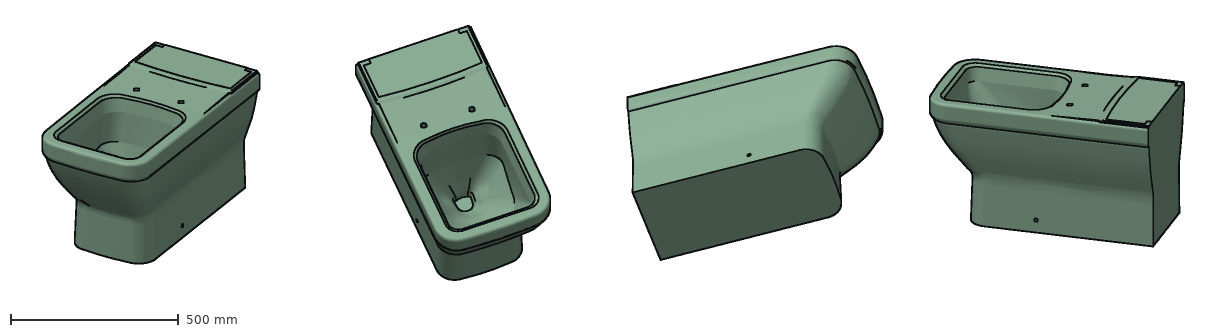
import cadquery as cq
import math


OVERALL_WIDTH = 370.98
OVERALL_LENGTH = 704.16
OVERALL_HEIGHT = 407.44
HALF_WIDTH = OVERALL_WIDTH / 2

FOOT_TOP = 134.0
WAIST_TOP = 174.0
SHELL_TOP = 330.0
NECK_TOP = 337.0
RIM_BOTTOM = 352.0
RIM_TOP = 401.0
RIM_EDGE_RADIUS = 9.5
RIM_FRONT_NARROWING = 2.5
LIP_SECTIONS = [(341.0, 4.5), (346.0, 1.4), (RIM_BOTTOM, 0.0)]
FRONT_BOW = 4.0

FOOT_SECTIONS = [
    (0.0, 135.5, 587.0, 58.0),
    (FOOT_TOP, 131.0, 583.5, 58.0),
]
WAIST_SECTIONS = [
    FOOT_SECTIONS[-1],
    (156.0, 131.3, 587.0, 56.0),
    (WAIST_TOP, 135.5, 601.0, 54.0),
]
SHELL_SECTIONS = [
    WAIST_SECTIONS[-1],
    (200.0, 144.0, 621.0, 56.0),
    (238.0, 157.0, 649.0, 60.0),
    (280.0, 167.0, 674.0, 63.0),
    (SHELL_TOP, 176.0, 693.0, 65.0),
]
NECK_SECTIONS = [
    SHELL_SECTIONS[-1],
    (NECK_TOP, 176.5, 695.0, 65.0),
]
RIM_CORNER_RADIUS = 70.0

DECK_HALF_WIDTH = 173.0
DECK_FRONT = 304.0
DECK_BREAK = 165.0
DECK_HIGH = 404.5

PAD_BASE = 396.0
PAD_FOOT_HALF_WIDTH = 178.5
PAD_FOOT_FRONT = 168.0
PAD_HALF_WIDTH = 175.5
PAD_FRONT = 159.0
PAD_BOW = 9.0
PAD_CORNER_RADIUS = 10.0
PLATE_THICKNESS = 0.8
PLATE_HALF_WIDTH = 165.5
PLATE_FRONT = 145.0
PLATE_BOW = 8.0
NOTCH_HALF_SPAN = 143.0
NOTCH_DEPTH = 16.0

BASIN_BACK_BOW = 7.0
OPENING_SECTIONS = [
    (RIM_TOP, 148.4, 148.4, 318.0, 668.0, 62.0, 40.0),
    (393.0, 139.5, 139.5, 323.0, 657.0, 58.0, 36.0),
    (352.0, 127.8, 127.8, 333.0, 649.0, 55.0, 30.0),
]
BASIN_SECTIONS = [
    OPENING_SECTIONS[-1],
    (257.0, 127.0, 113.0, 347.0, 612.0, 50.0, 102.0),
]
FUNNEL_SECTIONS = [
    BASIN_SECTIONS[-1],
    (186.0, 74.0, 62.0, 366.0, 508.0, 40.0, 56.0),
]
SUMP_SECTIONS = [
    FUNNEL_SECTIONS[-1],
    (160.0, 48.0, 40.0, 376.0, 478.0, 22.0, 38.0),
    (140.0, 32.0, 29.0, 383.0, 452.0, 12.0, 27.0),
    (120.0, 26.0, 24.0, 387.0, 437.0, 8.0, 22.0),
]

SEAT_HOLE_SPACING = 154.6
SEAT_HOLE_FROM_WALL = 277.0
SEAT_HOLE_DIAMETER = 17.0
SEAT_HOLE_DEPTH = 40.0
FIXING_HOLE_FROM_WALL = 365.0
FIXING_HOLE_HEIGHT = 39.5
FIXING_HOLE_DIAMETER = 10.0
FIXING_HOLE_DEPTH = 20.0

DIAGONAL = math.sqrt(0.5)


def corner_middle(center_x, center_y, radius, side_x, side_y):
    """Middle point of a quarter-circle corner facing the (side_x, side_y) quadrant."""
    reach = radius * DIAGONAL
    return (center_x + side_x * reach, center_y + side_y * reach)


def corner_arc(outline, center_x, center_y, radius, side_x, side_y, end):
    """Continue the outline round a quarter-circle corner to its end point."""
    return outline.threePointArc(corner_middle(center_x, center_y, radius, side_x, side_y), end)


def body_outline(height, half_width, front, radius, narrowing=0.0, bow=FRONT_BOW):
    """Flat against the wall, rounded at the front corners, with a gently bowed front."""
    front_half = half_width - narrowing
    corner_y = -(front - bow)
    center_x = front_half - radius
    center_y = corner_y + radius
    outline = cq.Workplane("XY", origin=(0, 0, height)).moveTo(-half_width, 0)
    outline = outline.lineTo(-front_half, center_y)
    outline = corner_arc(outline, -center_x, center_y, radius, -1, -1, (-center_x, corner_y))
    outline = outline.threePointArc((0, -front), (center_x, corner_y))
    outline = corner_arc(outline, center_x, center_y, radius, 1, -1, (front_half, center_y))
    return outline.lineTo(half_width, 0).close()


def basin_outline(height, rear_half, front_half, back, front, rear_radius, front_radius):
    """Closed ring with rounded corners and a back edge that bows toward the wall at its middle."""
    bow = min(BASIN_BACK_BOW, rear_radius / 2)
    rear_y = -(back + bow)
    rear_x = rear_half - rear_radius
    rear_center_y = rear_y - rear_radius
    front_x = front_half - front_radius
    front_center_y = -front + front_radius
    outline = cq.Workplane("XY", origin=(0, 0, height)).moveTo(-rear_half, rear_center_y)
    outline = outline.lineTo(-front_half, front_center_y)
    outline = corner_arc(outline, -front_x, front_center_y, front_radius, -1, -1, (-front_x, -front))
    outline = outline.lineTo(front_x, -front)
    outline = corner_arc(outline, front_x, front_center_y, front_radius, 1, -1, (front_half, front_center_y))
    outline = outline.lineTo(rear_half, rear_center_y)
    outline = corner_arc(outline, rear_x, rear_center_y, rear_radius, 1, 1, (rear_x, rear_y))
    outline = outline.threePointArc((0, -back), (-rear_x, rear_y))
    outline = corner_arc(outline, -rear_x, rear_center_y, rear_radius, -1, 1, (-rear_half, rear_center_y))
    return outline.close()


def loft(outlines, ruled=False):
    """Solid through a stack of closed outlines."""
    wires = [outline.wires().val() for outline in outlines]
    return cq.Workplane("XY").newObject([cq.Solid.makeLoft(wires, ruled)])


def lower_body():
    """Foot, waist, flared shell and neck stacked on one another."""
    body = loft([body_outline(*section) for section in FOOT_SECTIONS])
    for sections in (WAIST_SECTIONS, SHELL_SECTIONS, NECK_SECTIONS):
        body = body.union(loft([body_outline(*section) for section in sections]))
    return body


def rim_outline(height, inset=0.0):
    """Rim outline, pulled in by the inset at the sides and front."""
    return body_outline(
        height,
        HALF_WIDTH - inset,
        OVERALL_LENGTH - inset,
        RIM_CORNER_RADIUS - inset,
        RIM_FRONT_NARROWING,
    )


def rim():
    """Thick upright rim with a flared underside and a rounded top edge."""
    flare = loft([body_outline(*NECK_SECTIONS[-1]), rim_outline(*LIP_SECTIONS[0])])
    lip = loft([rim_outline(*section) for section in LIP_SECTIONS])
    band = rim_outline(RIM_BOTTOM).extrude(RIM_TOP - RIM_BOTTOM)
    top_edges = band.faces(">Z").edges().filter(lambda edge: edge.Center().y < -RIM_EDGE_RADIUS)
    return flare.union(lip).union(top_edges.fillet(RIM_EDGE_RADIUS))


def seat_deck():
    """Deck that falls gently from the cistern pad to the rim."""
    profile = [
        (0, PAD_BASE),
        (-DECK_FRONT, PAD_BASE),
        (-DECK_FRONT, RIM_TOP),
        (-DECK_BREAK, DECK_HIGH),
        (0, DECK_HIGH),
    ]
    return (
        cq.Workplane("YZ", origin=(-DECK_HALF_WIDTH, 0, 0))
        .polyline(profile)
        .close()
        .extrude(2 * DECK_HALF_WIDTH)
    )


def cistern_pad():
    """Raised pad with sloping sides, carrying a thin plate notched at its rear corners."""
    pad_top = OVERALL_HEIGHT - PLATE_THICKNESS
    foot_size = (PAD_FOOT_HALF_WIDTH, PAD_FOOT_FRONT, PAD_CORNER_RADIUS)
    top_size = (PAD_HALF_WIDTH, PAD_FRONT, PAD_CORNER_RADIUS)
    foot = body_outline(PAD_BASE, *foot_size, bow=PAD_BOW).extrude(DECK_HIGH - PAD_BASE)
    slope = loft([
        body_outline(DECK_HIGH, *foot_size, bow=PAD_BOW),
        body_outline(pad_top, *top_size, bow=PAD_BOW),
    ])
    pad = foot.union(slope)
    plate_corner = -(PLATE_FRONT - PLATE_BOW)
    plate = (
        cq.Workplane("XY", origin=(0, 0, pad_top))
        .moveTo(-NOTCH_HALF_SPAN, 0)
        .lineTo(-NOTCH_HALF_SPAN, -NOTCH_DEPTH)
        .lineTo(-PLATE_HALF_WIDTH, -NOTCH_DEPTH)
        .lineTo(-PLATE_HALF_WIDTH, plate_corner)
        .threePointArc((0, -PLATE_FRONT), (PLATE_HALF_WIDTH, plate_corner))
        .lineTo(PLATE_HALF_WIDTH, -NOTCH_DEPTH)
        .lineTo(NOTCH_HALF_SPAN, -NOTCH_DEPTH)
        .lineTo(NOTCH_HALF_SPAN, 0)
        .close()
        .extrude(PLATE_THICKNESS)
    )
    return pad.union(plate)


def bowl():
    """Bevelled opening and the basin narrowing down to the sump."""
    cavity = loft([basin_outline(*section) for section in OPENING_SECTIONS], ruled=True)
    for sections in (BASIN_SECTIONS, FUNNEL_SECTIONS, SUMP_SECTIONS):
        cavity = cavity.union(loft([basin_outline(*section) for section in sections], ruled=True))
    return cavity


def seat_holes():
    """Two blind holes in the deck for the seat hinges."""
    return (
        cq.Workplane("XY", origin=(0, -SEAT_HOLE_FROM_WALL, OVERALL_HEIGHT))
        .pushPoints([(-SEAT_HOLE_SPACING / 2, 0), (SEAT_HOLE_SPACING / 2, 0)])
        .circle(SEAT_HOLE_DIAMETER / 2)
        .extrude(-SEAT_HOLE_DEPTH)
    )


def fixing_holes():
    """Blind floor-fixing holes, one in each side of the foot."""
    hole = (
        cq.Workplane("YZ", origin=(-FOOT_SECTIONS[0][1], -FIXING_HOLE_FROM_WALL, FIXING_HOLE_HEIGHT))
        .circle(FIXING_HOLE_DIAMETER / 2)
        .extrude(FIXING_HOLE_DEPTH)
    )
    return hole.union(hole.mirror("YZ"))


pan = lower_body().union(rim()).union(seat_deck()).union(cistern_pad())
result = pan.cut(bowl()).cut(seat_holes()).cut(fixing_holes())